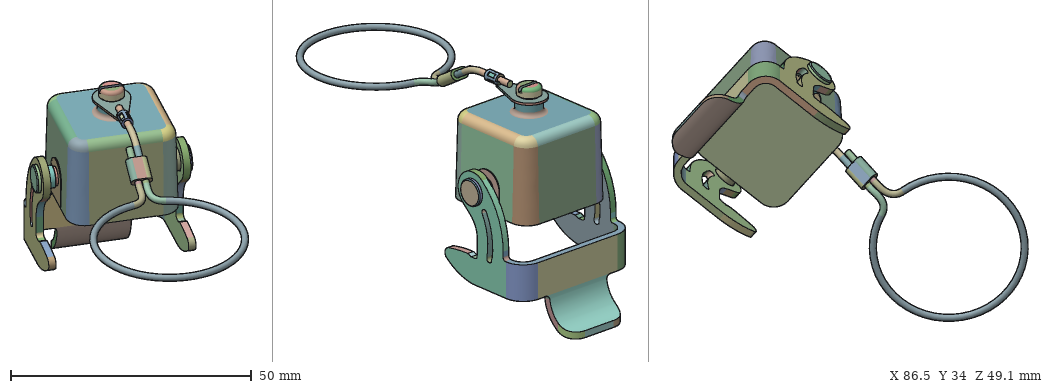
import cadquery as cq
import math


CAP_WIDTH = 24.0
CAP_HEIGHT = 19.25
CAP_DRAFT = 1.5
CAP_CORNER_RADIUS = 4.0
CAP_TOP_RADIUS = 2.0

POST_DIAMETER = 6.0
POST_FOOT_RADIUS = 1.0
EYELET_THICKNESS = 0.5
EYELET_BOTTOM = 22.4
EYELET_TOP = EYELET_BOTTOM + EYELET_THICKNESS
SCREW_NECK_DIAMETER = 4.15
SCREW_HEAD_DIAMETER = 5.4
SCREW_HEAD_BOTTOM = 23.35
SCREW_TOP = 25.45
SCREW_HEAD_ROUNDING = 0.8
SCREW_SLOT_WIDTH = 0.8
SCREW_SLOT_DEPTH = 1.1

PIVOT_Z = 5.7
PIN_PAD_RADIUS = 3.9
PIN_PAD_DEPTH = 2.0
PIN_NECK_DIAMETER = 4.15
PIN_NECK_LENGTH = 0.6
PIN_SHAFT_DIAMETER = 4.8
PIN_HEAD_DIAMETER = 6.0
PIN_HEAD_CHAMFER = 0.25
PIN_END = 16.73

LEVER_WIDTH = 31.7
SHEET = 1.6
LEVER_BACK_X = -15.1
BEND_RADIUS = 4.7
BAND_BOTTOM = -15.1
BAND_TOP = -6.8
ARM_START_X = LEVER_BACK_X + BEND_RADIUS
PIVOT_HOLE_DIAMETER = 5.0

EYE_RADIUS = 4.5
ARM_BACK_X = -9.4
ARM_CURVE_X = 9.0
ARM_ROOT_FILLET = 0.7
ARM_FRONT_X = -1.4
ARM_FRONT_SLOPE = 42.0
ARM_FRONT_RADIUS = 6.5
HOOK_ROOT_Z = -9.1
HOOK_ROOT_FILLET = 0.8
HOOK_BUMP_START = (0.5, HOOK_ROOT_Z)
HOOK_BUMP_TOP = (1.5, -8.65)
HOOK_TOP_MIDDLE = (4.6, -8.8)
HOOK_TIP_TOP = (7.3, -9.2)
HOOK_TIP = (8.6, -10.7)
HOOK_TIP_BOTTOM = (8.0, -11.75)
HOOK_BELLY = (4.3, -14.0)
HOOK_BELLY_START = (0.0, BAND_BOTTOM)

SLOT_WIDTH = 1.5
SLOT_APEX_X = -5.4
SLOT_TOP_Z = 2.1
SLOT_BOTTOM_Z = -7.9

TAB_WIDTH = 16.0
TAB_BEND_RADIUS = 7.0
TAB_END_X = -21.74
TAB_CORNER_RADIUS = 4.0
TAB_ROOT_FILLET = 1.0

CORD_DIAMETER = 1.5
CORD_SPACING = 1.6
CORD_SEAT = 0.05
CORD_Z = EYELET_TOP - CORD_SEAT + CORD_DIAMETER / 2
CORD_START_X = 5.9
CORD_BEND_X = 14.6
CORD_BEND_RADIUS = 10.0
CORD_SLOPE = math.radians(32.0)

EYELET_RADIUS = 4.0
EYELET_END_HALF_WIDTH = 1.1
CRIMP_DIAMETER = 2.5
CRIMP_START_X = 9.0
CRIMP_END_X = 12.5
CRIMP_TROUGH_LENGTH = 0.7
CRIMP_DENT_LENGTH = 2.0
CRIMP_DENT_WIDTH = 0.9
CRIMP_DENT_DEPTH = 0.3

SLEEVE_LENGTH = 5.2
SLEEVE_THICKNESS = 2.5
SLEEVE_WIDTH = 4.6
SLEEVE_CENTER_X = 24.5

LOOP_DIAMETER = 33.0
LOOP_END_X = 64.72
LOOP_Z = 16.13
LOOP_THROAT_RADIUS = 3.5
LOOP_LEAD_X = 27.4
LOOP_LEAD_MIDDLE_DROP = 0.4


def cylinder_z(diameter, bottom, top):
    return cq.Workplane("XY", origin=(0, 0, bottom)).circle(diameter / 2).extrude(top - bottom)


def cylinder_y(diameter, start, end):
    plane = cq.Plane((0, start, PIVOT_Z), (1, 0, 0), (0, 1, 0))
    return cq.Workplane(plane).circle(diameter / 2).extrude(end - start)


def cap_block():
    block = (
        cq.Workplane("XY")
        .sketch().rect(CAP_WIDTH, CAP_WIDTH).vertices().fillet(CAP_CORNER_RADIUS).finalize()
        .extrude(CAP_HEIGHT, taper=CAP_DRAFT)
    )
    return block.faces(">Z").edges().fillet(CAP_TOP_RADIUS)


def screw_post():
    radius = POST_DIAMETER / 2
    foot = radius + POST_FOOT_RADIUS
    foot_top = CAP_HEIGHT + POST_FOOT_RADIUS
    diagonal = POST_FOOT_RADIUS * math.sqrt(0.5)
    post = (
        cq.Workplane("XZ")
        .moveTo(0, CAP_HEIGHT - CAP_TOP_RADIUS)
        .lineTo(foot, CAP_HEIGHT - CAP_TOP_RADIUS)
        .lineTo(foot, CAP_HEIGHT)
        .threePointArc((foot - diagonal, foot_top - diagonal), (radius, foot_top))
        .lineTo(radius, EYELET_BOTTOM)
        .lineTo(0, EYELET_BOTTOM)
        .close()
        .revolve(360, (0, 0), (0, 1))
    )
    neck = cylinder_z(SCREW_NECK_DIAMETER, EYELET_BOTTOM, SCREW_HEAD_BOTTOM)
    head = cylinder_z(SCREW_HEAD_DIAMETER, SCREW_HEAD_BOTTOM, SCREW_TOP)
    head = head.faces(">Z").edges().fillet(SCREW_HEAD_ROUNDING)
    slot = cq.Workplane("XY", origin=(0, 0, SCREW_TOP)).box(
        SCREW_SLOT_WIDTH, SCREW_HEAD_DIAMETER, 2 * SCREW_SLOT_DEPTH
    )
    return post.union(neck).union(head.cut(slot))


def pivot_pin():
    wall = CAP_WIDTH / 2
    pad = (
        cq.Workplane("XZ", origin=(0, wall, 0))
        .moveTo(-PIN_PAD_RADIUS, 0)
        .lineTo(PIN_PAD_RADIUS, 0)
        .lineTo(PIN_PAD_RADIUS, PIVOT_Z)
        .threePointArc((0, PIVOT_Z + PIN_PAD_RADIUS), (-PIN_PAD_RADIUS, PIVOT_Z))
        .close()
        .extrude(PIN_PAD_DEPTH)
    )
    shaft_start = wall + PIN_NECK_LENGTH
    neck = cylinder_y(PIN_NECK_DIAMETER, wall - PIN_PAD_DEPTH, shaft_start)
    shaft = cylinder_y(PIN_SHAFT_DIAMETER, shaft_start, LEVER_WIDTH / 2)
    head = cylinder_y(PIN_HEAD_DIAMETER, LEVER_WIDTH / 2, PIN_END)
    head = head.faces(">Y").edges().chamfer(PIN_HEAD_CHAMFER)
    return pad.union(neck).union(shaft).union(head)


def build_cap():
    pin = pivot_pin()
    return cap_block().union(screw_post()).union(pin).union(pin.mirror("XZ"))


def lever_band():
    height = BAND_TOP - BAND_BOTTOM

    def bent_block(inset):
        block = cq.Workplane("XY", origin=(LEVER_BACK_X + inset, 0, BAND_BOTTOM)).box(
            LEVER_WIDTH, LEVER_WIDTH - 2 * inset, height, centered=(False, True, False)
        )
        return block.edges("|Z and <X").fillet(BEND_RADIUS - inset)

    bend_region = cq.Workplane("XY", origin=(LEVER_BACK_X, 0, BAND_BOTTOM)).box(
        BEND_RADIUS, LEVER_WIDTH, height, centered=(False, True, False)
    )
    return bent_block(0).cut(bent_block(SHEET)).intersect(bend_region)


def arm_curve():
    back_radius = ARM_CURVE_X - ARM_BACK_X
    center_to_pivot = back_radius - EYE_RADIUS
    center_z = PIVOT_Z - math.sqrt(center_to_pivot**2 - ARM_CURVE_X**2)
    return center_z, back_radius


def point_on_arm_curve(radius, z):
    center_z, _ = arm_curve()
    return (ARM_CURVE_X - math.sqrt(radius**2 - (z - center_z) ** 2), z)


def arm_slot(start_y):
    center_z, _ = arm_curve()
    radius = ARM_CURVE_X - SLOT_APEX_X
    half = SLOT_WIDTH / 2

    def at(distance, angle):
        return (ARM_CURVE_X - distance * math.cos(angle), center_z + distance * math.sin(angle))

    top = math.asin((SLOT_TOP_Z - center_z) / radius)
    bottom = math.asin((SLOT_BOTTOM_Z - center_z) / radius)
    end_angle = half / radius
    return (
        cq.Workplane("XZ", origin=(0, start_y, 0))
        .moveTo(*at(radius + half, bottom))
        .threePointArc(at(radius + half, 0), at(radius + half, top))
        .threePointArc(at(radius, top + end_angle), at(radius - half, top))
        .threePointArc(at(radius - half, 0), at(radius - half, bottom))
        .threePointArc(at(radius, bottom - end_angle), at(radius + half, bottom))
        .close()
        .extrude(SHEET)
    )


def lever_arm(start_y):
    center_z, back_radius = arm_curve()
    eye_reach = back_radius / (back_radius - EYE_RADIUS)
    eye_back = (
        ARM_CURVE_X - ARM_CURVE_X * eye_reach,
        center_z + (PIVOT_Z - center_z) * eye_reach,
    )
    slope = math.radians(ARM_FRONT_SLOPE)
    eye_front = (EYE_RADIUS * math.sin(slope), PIVOT_Z - EYE_RADIUS * math.cos(slope))
    front_corner = (ARM_FRONT_X, eye_front[1] - (eye_front[0] - ARM_FRONT_X) * math.tan(slope))
    crown_angle = math.radians(45)
    eye_crown = (EYE_RADIUS * math.cos(crown_angle), PIVOT_Z + EYE_RADIUS * math.sin(crown_angle))

    arm = (
        cq.Workplane("XZ", origin=(0, start_y, 0))
        .moveTo(ARM_START_X, BAND_BOTTOM)
        .lineTo(ARM_START_X, BAND_TOP)
        .lineTo(ARM_BACK_X, BAND_TOP)
        .lineTo(ARM_BACK_X, center_z)
        .threePointArc(point_on_arm_curve(back_radius, (center_z + eye_back[1]) / 2), eye_back)
        .threePointArc(eye_crown, eye_front)
        .lineTo(*front_corner)
        .lineTo(ARM_FRONT_X, HOOK_ROOT_Z)
        .lineTo(*HOOK_BUMP_START)
        .lineTo(*HOOK_BUMP_TOP)
        .threePointArc(HOOK_TOP_MIDDLE, HOOK_TIP_TOP)
        .threePointArc(HOOK_TIP, HOOK_TIP_BOTTOM)
        .threePointArc(HOOK_BELLY, HOOK_BELLY_START)
        .close()
        .extrude(SHEET)
    )

    def round_corner(body, corner, radius):
        nearest = cq.selectors.NearestToPointSelector((corner[0], start_y - SHEET / 2, corner[1]))
        return body.edges("|Y").edges(nearest).fillet(radius)

    arm = round_corner(arm, (ARM_BACK_X, BAND_TOP), ARM_ROOT_FILLET)
    arm = round_corner(arm, front_corner, ARM_FRONT_RADIUS)
    arm = round_corner(arm, (ARM_FRONT_X, HOOK_ROOT_Z), HOOK_ROOT_FILLET)
    hole = cylinder_y(PIVOT_HOLE_DIAMETER, start_y - SHEET, start_y)
    return arm.cut(hole).cut(arm_slot(start_y))


def curled_sheet(width):
    outer_radius = TAB_BEND_RADIUS + SHEET
    bend_x = LEVER_BACK_X - TAB_BEND_RADIUS
    front_x = LEVER_BACK_X + SHEET
    end_angle = math.acos((TAB_END_X - bend_x) / TAB_BEND_RADIUS)
    outer_end_angle = math.acos((TAB_END_X - bend_x) / outer_radius)

    def at(radius, angle):
        return (bend_x + radius * math.cos(angle), BAND_BOTTOM - radius * math.sin(angle))

    return (
        cq.Workplane("XZ", origin=(0, width / 2, 0))
        .moveTo(LEVER_BACK_X, BAND_BOTTOM)
        .threePointArc(at(TAB_BEND_RADIUS, end_angle / 2), at(TAB_BEND_RADIUS, end_angle))
        .lineTo(*at(outer_radius, outer_end_angle))
        .threePointArc(at(outer_radius, outer_end_angle / 2), (front_x, BAND_BOTTOM))
        .close()
        .extrude(width)
    )


def thumb_tab():
    length = LEVER_BACK_X + SHEET - TAB_END_X
    drop = TAB_BEND_RADIUS + SHEET
    plan = (
        cq.Workplane("XY", origin=(TAB_END_X, 0, BAND_BOTTOM - drop))
        .box(length, TAB_WIDTH, drop, centered=(False, True, False))
        .edges("|Z and <X").fillet(TAB_CORNER_RADIUS)
    )
    return curled_sheet(TAB_WIDTH).intersect(plan)


def tab_root_fillet(side):
    edge = side * TAB_WIDTH / 2
    radius = TAB_ROOT_FILLET
    diagonal = radius * (1 - math.sqrt(0.5))
    web = (
        cq.Workplane("YZ", origin=(TAB_END_X, 0, 0))
        .moveTo(edge, BAND_BOTTOM)
        .lineTo(edge + side * radius, BAND_BOTTOM)
        .threePointArc((edge + side * diagonal, BAND_BOTTOM - diagonal), (edge, BAND_BOTTOM - radius))
        .close()
        .extrude(LEVER_BACK_X + SHEET - TAB_END_X)
    )
    return curled_sheet(TAB_WIDTH + 2 * radius).intersect(web)


def build_lever():
    lever = lever_band().union(thumb_tab())
    for side in (-1, 1):
        lever = lever.union(tab_root_fillet(side))
    for start_y in (LEVER_WIDTH / 2, SHEET - LEVER_WIDTH / 2):
        lever = lever.union(lever_arm(start_y))
    return lever


SLOPE_START_X = CORD_BEND_X + CORD_BEND_RADIUS * math.sin(CORD_SLOPE)
SLOPE_START_Z = CORD_Z - CORD_BEND_RADIUS * (1 - math.cos(CORD_SLOPE))


def slope_point(x, y):
    return cq.Vector(x, y, SLOPE_START_Z - (x - SLOPE_START_X) * math.tan(CORD_SLOPE))


def loop_lead(side):
    middle_y = -CORD_SPACING / 2
    radius = LOOP_DIAMETER / 2 - CORD_DIAMETER / 2
    loop_x = LOOP_END_X - LOOP_DIAMETER / 2
    throat_y = CORD_SPACING / 2 + LOOP_THROAT_RADIUS
    throat_reach = radius + LOOP_THROAT_RADIUS
    angle = math.asin(throat_y / throat_reach)
    throat_x = loop_x - throat_reach * math.cos(angle)
    end = cq.Vector(
        loop_x - radius * math.cos(angle), middle_y + side * radius * math.sin(angle), LOOP_Z
    )
    strand_y = middle_y + side * CORD_SPACING / 2
    start = slope_point(LOOP_LEAD_X, strand_y)
    middle = cq.Vector(throat_x, strand_y, LOOP_Z + LOOP_LEAD_MIDDLE_DROP)
    start_direction = cq.Vector(math.cos(CORD_SLOPE), 0, -math.sin(CORD_SLOPE))
    end_direction = cq.Vector(math.sin(angle), side * math.cos(angle), 0)
    edge = cq.Edge.makeSpline([start, middle, end], tangents=[start_direction, end_direction])
    return edge, end


def cord_strand():
    half_slope = CORD_SLOPE / 2
    bend_start = cq.Vector(CORD_BEND_X, 0, CORD_Z)
    bend_middle = cq.Vector(
        CORD_BEND_X + CORD_BEND_RADIUS * math.sin(half_slope),
        0,
        CORD_Z - CORD_BEND_RADIUS * (1 - math.cos(half_slope)),
    )
    slope_start = slope_point(SLOPE_START_X, 0)
    start = cq.Vector(CORD_START_X, 0, CORD_Z)
    main_lead, main_end = loop_lead(1)
    tail_lead, tail_end = loop_lead(-1)
    far_side = cq.Vector(LOOP_END_X - CORD_DIAMETER / 2, -CORD_SPACING / 2, LOOP_Z)

    path = cq.Wire.assembleEdges([
        cq.Edge.makeLine(start, bend_start),
        cq.Edge.makeThreePointArc(bend_start, bend_middle, slope_start),
        cq.Edge.makeLine(slope_start, slope_point(LOOP_LEAD_X, 0)),
        main_lead,
        cq.Edge.makeThreePointArc(main_end, far_side, tail_end),
        tail_lead,
        cq.Edge.makeLine(
            slope_point(LOOP_LEAD_X, -CORD_SPACING), slope_point(SLOPE_START_X, -CORD_SPACING)
        ),
    ])
    section_plane = cq.Plane(start, (0, 1, 0), (1, 0, 0))
    return cq.Workplane(section_plane).circle(CORD_DIAMETER / 2).sweep(path)


def eyelet():
    reach = math.hypot(CRIMP_START_X, EYELET_END_HALF_WIDTH)
    angle = math.atan2(EYELET_END_HALF_WIDTH, CRIMP_START_X) + math.acos(EYELET_RADIUS / reach)
    side_x = EYELET_RADIUS * math.cos(angle)
    side_y = EYELET_RADIUS * math.sin(angle)
    return (
        cq.Workplane("XY", origin=(0, 0, EYELET_BOTTOM))
        .moveTo(CRIMP_START_X, -EYELET_END_HALF_WIDTH)
        .lineTo(CRIMP_START_X, EYELET_END_HALF_WIDTH)
        .lineTo(side_x, side_y)
        .threePointArc((-EYELET_RADIUS, 0), (side_x, -side_y))
        .close()
        .extrude(EYELET_THICKNESS)
        .cut(cylinder_z(SCREW_NECK_DIAMETER, EYELET_BOTTOM, EYELET_TOP))
    )


def crimp():
    trough_start = CRIMP_START_X - CRIMP_TROUGH_LENGTH
    barrel = (
        cq.Workplane("YZ", origin=(trough_start, 0, CORD_Z))
        .circle(CRIMP_DIAMETER / 2)
        .extrude(CRIMP_END_X - trough_start)
    )
    mouth = cq.Workplane("XY", origin=(trough_start, 0, CORD_Z)).box(
        CRIMP_TROUGH_LENGTH, CRIMP_DIAMETER, CRIMP_DIAMETER, centered=(False, True, False)
    )
    barrel = barrel.cut(mouth)
    dent_x = (CRIMP_START_X + CRIMP_END_X) / 2
    for angle in (45, 135, 225, 315):
        dent = (
            cq.Workplane("XY")
            .box(CRIMP_DENT_LENGTH, CRIMP_DENT_WIDTH, 2 * CRIMP_DENT_DEPTH)
            .translate((0, 0, CRIMP_DIAMETER / 2))
            .rotate((0, 0, 0), (1, 0, 0), angle)
            .translate((dent_x, 0, CORD_Z))
        )
        barrel = barrel.cut(dent)
    return barrel


def double_sleeve():
    plane = cq.Plane(
        slope_point(SLEEVE_CENTER_X, -CORD_SPACING / 2),
        (0, 1, 0),
        (math.cos(CORD_SLOPE), 0, -math.sin(CORD_SLOPE)),
    )
    return cq.Workplane(plane).slot2D(SLEEVE_WIDTH, SLEEVE_THICKNESS).extrude(SLEEVE_LENGTH / 2, both=True)


def build_cord():
    return cord_strand().union(eyelet()).union(crimp()).union(double_sleeve())


cap = build_cap()
lever = build_lever()
cord = build_cord()

result = cq.Compound.makeCompound([cap.solids().val(), lever.solids().val(), cord.solids().val()])